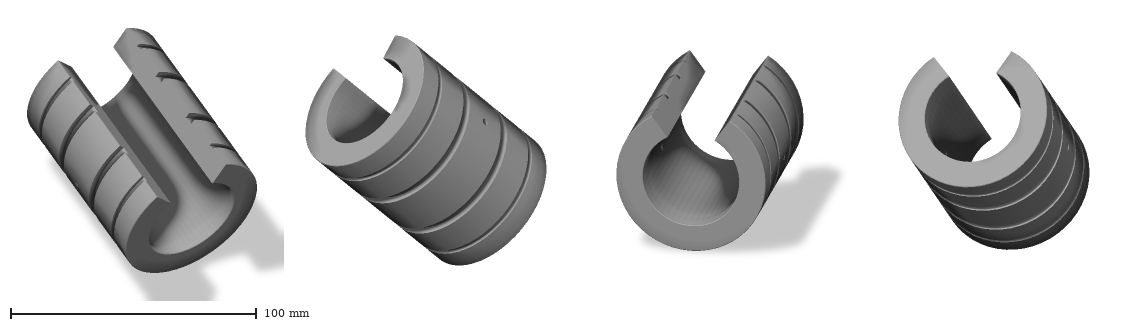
import cadquery as cq
import math

length = 80.0
outer_radius = 31.0
bore_radius = 20.0
edge_chamfer = 0.25

gap_angle = 72.0
gap_apex_height = 4.0

wide_groove_width = 4.0
wide_groove_depth = 2.85
wide_groove_offset = 12.1
narrow_groove_width = 2.4
narrow_groove_depth = 1.5
narrow_groove_offset = 29.1

hole_diameter = 3.0
front_hole_height = -1.48
back_hole_height = -2.25


def tube(outer, inner, width, center_x):
    """Ring around the X axis, centred lengthwise at center_x."""
    return (
        cq.Workplane("YZ", origin=(center_x - width / 2, 0, 0))
        .circle(outer)
        .circle(inner)
        .extrude(width)
    )


def chamfered_sleeve():
    sleeve = tube(outer_radius, bore_radius, length, 0)
    return sleeve.faces("<X or >X").edges().chamfer(edge_chamfer)


def cut_groove_pair(body, offset, width, depth):
    for side in (-1, 1):
        ring = tube(outer_radius + depth, outer_radius - depth, width, side * offset)
        body = body.cut(ring)
    return body


def opening_wedge():
    top_height = 2 * outer_radius
    half_width = (top_height - gap_apex_height) * math.tan(math.radians(gap_angle / 2))
    return (
        cq.Workplane("YZ")
        .moveTo(0, gap_apex_height)
        .lineTo(half_width, top_height)
        .lineTo(-half_width, top_height)
        .close()
        .extrude(length, both=True)
    )


def wall_hole(height, direction):
    """Drill along Y from the middle of the bore out through one side wall."""
    start = cq.Vector(0, 0, height)
    axis = cq.Vector(0, direction, 0)
    drill = cq.Solid.makeCylinder(hole_diameter / 2, 2 * outer_radius, start, axis)
    return cq.Workplane(obj=drill)


body = chamfered_sleeve()
body = cut_groove_pair(body, wide_groove_offset, wide_groove_width, wide_groove_depth)
body = cut_groove_pair(body, narrow_groove_offset, narrow_groove_width, narrow_groove_depth)
body = body.cut(opening_wedge())
body = body.cut(wall_hole(front_hole_height, -1))
result = body.cut(wall_hole(back_hole_height, 1))